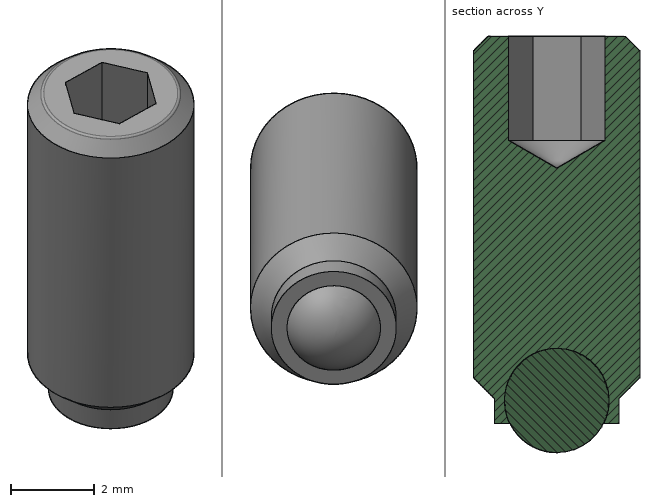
import cadquery as cq
import math

total_length = 10.0
body_radius = 2.0

top_chamfer = 0.35
top_edge_fillet = 0.1
hex_across_flats = 2.0
hex_depth = 2.5
drill_point_angle = 120.0

ball_radius = 1.25
ball_projection = 0.7
nose_radius = 1.5
nose_length = 0.6

nose_top = ball_projection + nose_length
bottom_chamfer = body_radius - nose_radius
hex_across_corners = hex_across_flats / math.cos(math.radians(30))
hex_corner_radius = hex_across_corners / 2
drill_point_depth = hex_corner_radius / math.tan(math.radians(drill_point_angle / 2))


def make_ball():
    """Thrust ball resting on Z = 0."""
    return cq.Workplane("XY").sphere(ball_radius).translate((0, 0, ball_radius))


def make_hex_socket():
    """Hexagonal recess with a conical floor as wide as the hexagon corners."""
    hex_floor = total_length - hex_depth
    hexagon = (
        cq.Workplane("XY")
        .workplane(offset=hex_floor)
        .polygon(6, hex_across_corners)
        .extrude(hex_depth)
    )
    drill_point = cq.Workplane(
        cq.Solid.makeCone(
            0, hex_corner_radius, drill_point_depth, cq.Vector(0, 0, hex_floor - drill_point_depth)
        )
    )
    return hexagon.union(drill_point)


def make_screw(ball):
    """Headless screw with a stepped nose, a hexagon socket and a seat around the ball."""
    shank = (
        cq.Workplane("XY")
        .workplane(offset=nose_top)
        .circle(body_radius)
        .extrude(total_length - nose_top)
        .faces("<Z")
        .chamfer(bottom_chamfer)
        .faces(">Z")
        .chamfer(top_chamfer)
        .faces(">Z")
        .edges()
        .fillet(top_edge_fillet)
    )
    nose = (
        cq.Workplane("XY")
        .workplane(offset=ball_projection)
        .circle(nose_radius)
        .extrude(nose_length)
    )
    return shank.union(nose).cut(make_hex_socket()).cut(ball)


ball = make_ball()
screw = make_screw(ball)

result = cq.Compound.makeCompound([screw.solids().val(), ball.val()])